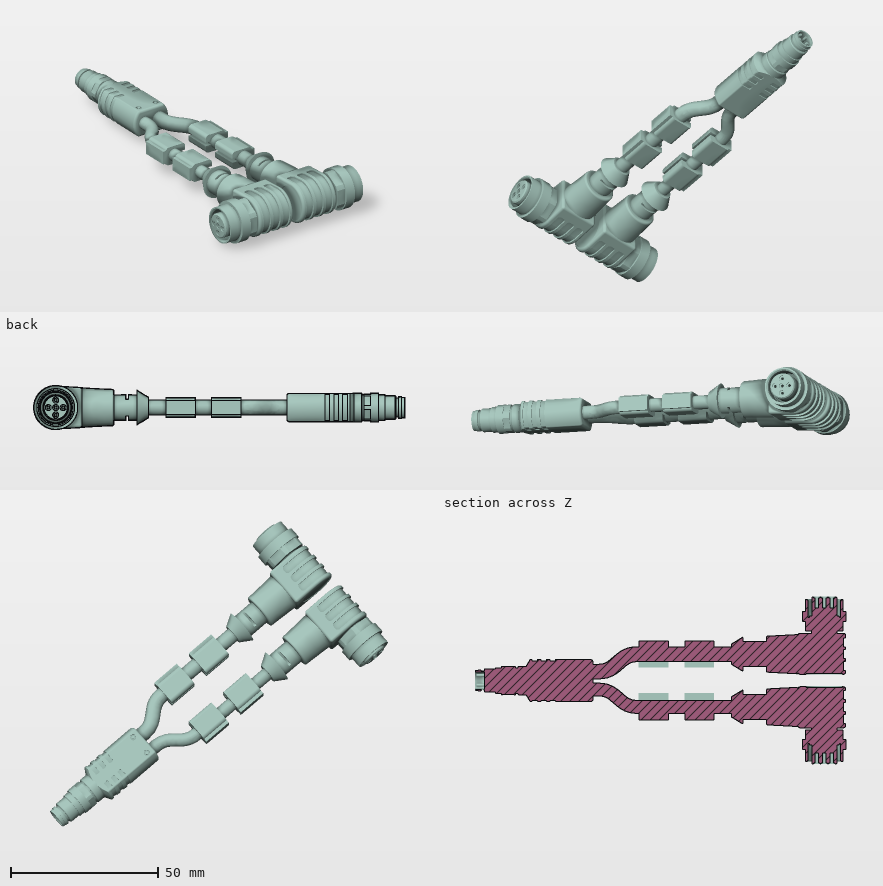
import cadquery as cq
import math


OVERALL_LENGTH = 126.0
OVERALL_WIDTH = 56.8

TIP_RING = (0, 2.1, 6.9)
SEAL_RING = (1.1, 2.1, 7.4)
UNDERCUT_RING = (2.1, 3.0, 6.5)
SLEEVE_RING = (3.0, 6.8, 8.1)
SHOULDER_RING = (6.8, 9.0, 8.8)
GRIP_RING = (9.0, 13.9, 9.8)
NECK_RING = (13.9, 14.5, 8.8)
COLLAR_RING = (14.5, 17.6, 9.8)
RING_CHAMFER = 0.3
GRIP_FLAT_START = 11.6
GRIP_ACROSS_FLATS = 9.1
SOCKET_DIAMETER = 5.8
SOCKET_DEPTH = 3.2
PIN_DIAMETER = 1.0
PIN_RECESS = 0.6
PLUG_PINS = ((-1.1, 1.8), (1.1, 1.8), (-1.6, -0.6), (1.6, -0.6))

BODY_START = 17.3
BODY_END = 40.1
BODY_HALF_WIDTH = 7.2
BODY_HEIGHT = 9.7
BODY_HALF_HEIGHT = BODY_HEIGHT / 2
BODY_FLAT_HALF_WIDTH = 5.2
BODY_TAPER_LENGTH = 1.4
BODY_EDGE_FILLET = 0.6
BODY_END_FILLET = 0.9
BODY_GROOVE_DEPTH = 0.4
BODY_GROOVE_WIDTH = 1.6
BODY_GROOVE_PITCH = 3.0
BODY_GROOVE_FIRST = 20.3
BODY_GROOVE_COUNT = 3
BODY_GROOVE_INNER_Y = 1.9
LAMP_X = 37.4
LAMP_Y = 3.5
LAMP_RIM_DIAMETER = 2.0
LAMP_POST_DIAMETER = 1.0
LAMP_RIM_DEPTH = 0.5

CABLE_DIAMETER_PLUS_Y = 5.2
CABLE_DIAMETER_MINUS_Y = 4.5
CABLE_EXIT_Y = 3.0
ARM_Y = 9.0
BEND_START = 42.0
BEND_END = 54.9
CABLE_END = 92.0
CABLE_OVERLAP = 1.3

CLIP_LENGTH = 10.1
CLIP_STARTS = (55.6, 71.1)
CLIP_INNER_Y = 4.3
CLIP_OUTER_Y = 12.3
CLIP_HEIGHT = 6.7
CLIP_HALF_HEIGHT = CLIP_HEIGHT / 2
CLIP_LIP_FILLET = 1.3
CLIP_MOUTH_HEIGHT = 1.3
LABEL_OUTER_Y = 13.5
LABEL_HALF_HEIGHT = 2.4

FLARE_START = 87.0
FLARE_END = 91.0
FLARE_SMALL_DIAMETER = 6.9
FLARE_LARGE_DIAMETER = 11.8
SHANK_DIAMETER = 8.7
SLIT_X = 94.2
SLIT_WIDTH = 0.9
SLIT_FLOOR = 2.9
GRIP_START = 98.8
GRIP_SMALL_DIAMETER = 12.3
GRIP_LARGE_DIAMETER = 13.5
GRIP_FILLET = 0.6

ELBOW_START = 109.5
RING_DIAMETER = 15.0
ELBOW_AXIS_X = OVERALL_LENGTH - RING_DIAMETER / 2
ELBOW_INNER_Y = 2.0
ELBOW_OUTER_Y = 16.1
ELBOW_START_HALF_HEIGHT = 6.8
ELBOW_RADIUS = 7.3
ELBOW_EDGE_FILLET = 0.9
ELBOW_CAP_DIAMETER = 12.3
ELBOW_CAP_RECESS = 0.3
ELBOW_GROOVE_START = 113.7
ELBOW_GROOVE_WIDTH = 2.9
ELBOW_GROOVE_PITCH = 4.0
ELBOW_GROOVE_DEPTH = 0.6

NECK_DIAMETER = 8.8
NECK_OVERLAP = 1.3
HEX_START = 16.8
HEX_CORNER_DIAMETER = 14.1
HEX_ACROSS_FLATS = 13.0
RING_START = 19.9
RING_END = 23.4
NUT_END = 27.6
NUT_DIAMETER = 12.9
NUT_BORE = 11.0
NUT_MOUTH_CHAMFER = 0.44
NUT_FLOOR = 21.4
INSERT_END = OVERALL_WIDTH / 2
INSERT_DIAMETER = 8.7
INSERT_CHAMFER = 0.4
SEAL_SECTION = 1.1
CONTACT_DIAMETER = 1.0
CONTACT_DEPTH = 3.8
CONTACT_MOUTH_DIAMETER = 2.0
CONTACT_MOUTH_DEPTH = 0.4
CONTACT_CIRCLE_RADIUS = 2.5
CONTACT_COUNT = 4


def turned_x(start, end, diameter, y=0.0):
    """Cylinder along X."""
    return cq.Workplane("YZ", origin=(start, y, 0)).circle(diameter / 2).extrude(end - start)


def turned_y(start, end, diameter):
    """Cylinder along Y on the elbow axis."""
    plane = cq.Workplane("XZ", origin=(ELBOW_AXIS_X, start, 0))
    return plane.circle(diameter / 2).extrude(start - end)


def block(x_range, y_range, z_range):
    """Box between two limits on each axis."""
    sizes = [high - low for low, high in (x_range, y_range, z_range)]
    corner = (x_range[0], y_range[0], z_range[0])
    return cq.Workplane("XY", origin=corner).box(*sizes, centered=False)


def hex_bar(plane, across_flats, length):
    """Hexagonal bar with a flat on the local X and -X sides."""
    corner_diameter = across_flats / math.cos(math.pi / 6)
    return plane.transformed(rotate=(0, 0, 30)).polygon(6, corner_diameter).extrude(length)


def plug_nose():
    nose = turned_x(*TIP_RING)
    for ring in (SEAL_RING, UNDERCUT_RING, SHOULDER_RING, NECK_RING):
        nose = nose.union(turned_x(*ring))
    for ring in (SLEEVE_RING, COLLAR_RING):
        nose = nose.union(turned_x(*ring).faces("<X").chamfer(RING_CHAMFER))

    grip_start, grip_end, grip_diameter = GRIP_RING
    flats_plane = cq.Workplane("YZ", origin=(GRIP_FLAT_START, 0, 0)).transformed(rotate=(0, 0, 90))
    flats = hex_bar(flats_plane, GRIP_ACROSS_FLATS, grip_end - GRIP_FLAT_START)
    nose = nose.union(turned_x(grip_start, GRIP_FLAT_START, grip_diameter))
    nose = nose.union(turned_x(GRIP_FLAT_START, grip_end, grip_diameter).intersect(flats))

    nose = nose.cut(turned_x(0, SOCKET_DEPTH, SOCKET_DIAMETER))
    pins = cq.Workplane("YZ", origin=(PIN_RECESS, 0, 0)).pushPoints(PLUG_PINS)
    return nose.union(pins.circle(PIN_DIAMETER / 2).extrude(SOCKET_DEPTH - PIN_RECESS))


def barrel(inset):
    """Junction body bar with flat top and bottom and bulged sides, shrunk by the inset."""
    flat = BODY_FLAT_HALF_WIDTH
    side = BODY_HALF_WIDTH - inset
    height = BODY_HALF_HEIGHT - inset
    return (
        cq.Workplane("YZ", origin=(BODY_START, 0, 0))
        .moveTo(-flat, height)
        .lineTo(flat, height)
        .threePointArc((side, 0), (flat, -height))
        .lineTo(-flat, -height)
        .threePointArc((-side, 0), (-flat, height))
        .close()
        .extrude(BODY_END - BODY_START)
        .edges("|X")
        .fillet(BODY_EDGE_FILLET)
    )


def junction_body():
    taper_end = BODY_START + BODY_TAPER_LENGTH
    largest_radius = math.hypot(BODY_HALF_WIDTH, BODY_HALF_HEIGHT)
    taper = (
        cq.Workplane("XY")
        .moveTo(BODY_START, 0)
        .lineTo(BODY_START, BODY_HALF_HEIGHT)
        .lineTo(taper_end, BODY_HALF_WIDTH)
        .lineTo(taper_end, largest_radius)
        .lineTo(BODY_END, largest_radius)
        .lineTo(BODY_END, 0)
        .close()
        .revolve(360, (0, 0, 0), (1, 0, 0))
    )
    body = barrel(0).faces(">X").edges().fillet(BODY_END_FILLET)
    body = body.intersect(taper)

    core = barrel(BODY_GROOVE_DEPTH)
    for index in range(BODY_GROOVE_COUNT):
        middle = BODY_GROOVE_FIRST + index * BODY_GROOVE_PITCH
        groove = block(
            (middle - BODY_GROOVE_WIDTH / 2, middle + BODY_GROOVE_WIDTH / 2),
            (BODY_GROOVE_INNER_Y, 2 * BODY_HALF_WIDTH),
            (-2 * BODY_HALF_HEIGHT, 2 * BODY_HALF_HEIGHT),
        )
        groove = groove.edges("|Z and <Y").fillet(BODY_GROOVE_WIDTH / 4).cut(core)
        body = body.cut(groove).cut(groove.mirror("XZ"))

    lamp_rims = (
        cq.Workplane("XY", origin=(LAMP_X, 0, BODY_HALF_HEIGHT))
        .pushPoints([(0, -LAMP_Y), (0, LAMP_Y)])
        .circle(LAMP_RIM_DIAMETER / 2)
        .circle(LAMP_POST_DIAMETER / 2)
        .extrude(-LAMP_RIM_DEPTH)
    )
    return body.cut(lamp_rims)


def cable(diameter):
    path = (
        cq.Workplane("XY")
        .moveTo(BODY_END - CABLE_OVERLAP, CABLE_EXIT_Y)
        .lineTo(BEND_START, CABLE_EXIT_Y)
        .spline([(BEND_END, ARM_Y)], tangents=[(1, 0), (1, 0)], includeCurrent=True)
        .lineTo(CABLE_END, ARM_Y)
    )
    section = cq.Workplane("YZ", origin=(BODY_END - CABLE_OVERLAP, CABLE_EXIT_Y, 0)).circle(diameter / 2)
    return section.sweep(path)


def label_clip(start):
    x_range = (start, start + CLIP_LENGTH)
    holder = block(x_range, (CLIP_INNER_Y, CLIP_OUTER_Y), (-CLIP_HALF_HEIGHT, CLIP_HALF_HEIGHT))
    holder = holder.edges("|X").fillet(CLIP_LIP_FILLET)
    mouth = block(x_range, (CLIP_INNER_Y, ARM_Y), (-CLIP_MOUTH_HEIGHT / 2, CLIP_MOUTH_HEIGHT / 2))
    label = block(x_range, (ARM_Y, LABEL_OUTER_Y), (-LABEL_HALF_HEIGHT, LABEL_HALF_HEIGHT))
    return holder.union(label).cut(mouth)


def strain_relief():
    relief = turned_x(FLARE_END, ELBOW_START, SHANK_DIAMETER, ARM_Y)

    flare = (
        cq.Workplane("YZ", origin=(FLARE_START, ARM_Y, 0))
        .circle(FLARE_SMALL_DIAMETER / 2)
        .workplane(offset=FLARE_END - FLARE_START)
        .circle(FLARE_LARGE_DIAMETER / 2)
        .loft(ruled=True)
    )
    grip = (
        cq.Workplane("YZ", origin=(GRIP_START, ARM_Y, 0))
        .circle(GRIP_SMALL_DIAMETER / 2)
        .workplane(offset=ELBOW_START - GRIP_START)
        .circle(GRIP_LARGE_DIAMETER / 2)
        .loft(ruled=True)
        .faces("<X")
        .edges()
        .fillet(GRIP_FILLET)
    )
    slit_x = (SLIT_X - SLIT_WIDTH / 2, SLIT_X + SLIT_WIDTH / 2)
    slit_y = (ARM_Y - SHANK_DIAMETER, ARM_Y + SHANK_DIAMETER)
    upper_slit = block(slit_x, slit_y, (SLIT_FLOOR, SHANK_DIAMETER))
    lower_slit = block(slit_x, slit_y, (-SHANK_DIAMETER, -SLIT_FLOOR))
    return relief.cut(upper_slit).cut(lower_slit).union(flare).union(grip)


def elbow_bar(y_start, y_end, inset=0.0):
    """Elbow side profile, a widening bar with a round far end, shrunk by the inset."""
    radius = ELBOW_RADIUS - inset
    start_height = ELBOW_START_HALF_HEIGHT - inset
    return (
        cq.Workplane("XZ", origin=(0, y_start, 0))
        .moveTo(ELBOW_START, -start_height)
        .lineTo(ELBOW_AXIS_X, -radius)
        .threePointArc((ELBOW_AXIS_X + radius, 0), (ELBOW_AXIS_X, radius))
        .lineTo(ELBOW_START, start_height)
        .close()
        .extrude(y_start - y_end)
    )


def elbow():
    housing = elbow_bar(ELBOW_INNER_Y, ELBOW_OUTER_Y)
    housing = housing.faces("<Y or >Y or <X").edges().fillet(ELBOW_EDGE_FILLET)
    cap_floor = ELBOW_INNER_Y + ELBOW_CAP_RECESS
    housing = housing.cut(turned_y(ELBOW_INNER_Y, cap_floor, ELBOW_CAP_DIAMETER))

    core = elbow_bar(ELBOW_INNER_Y, ELBOW_OUTER_Y, ELBOW_GROOVE_DEPTH)
    groove_end = ELBOW_AXIS_X + 2 * ELBOW_RADIUS
    for step in (-1, 0, 1):
        middle = ARM_Y + step * ELBOW_GROOVE_PITCH
        groove = block(
            (ELBOW_GROOVE_START, groove_end),
            (middle - ELBOW_GROOVE_WIDTH / 2, middle + ELBOW_GROOVE_WIDTH / 2),
            (-2 * ELBOW_RADIUS, 2 * ELBOW_RADIUS),
        )
        groove = groove.edges("|Z and <X").fillet(ELBOW_GROOVE_WIDTH / 3)
        housing = housing.cut(groove.cut(core))
    return housing


def coupling():
    hex_plane = cq.Workplane("XZ", origin=(ELBOW_AXIS_X, HEX_START, 0))
    flats = hex_bar(hex_plane, HEX_ACROSS_FLATS, HEX_START - RING_START)
    nut = turned_y(HEX_START, RING_START, HEX_CORNER_DIAMETER).intersect(flats)
    nut = nut.union(turned_y(RING_START, RING_END, RING_DIAMETER))
    nut = nut.union(turned_y(RING_END, NUT_END, NUT_DIAMETER))
    nut = nut.cut(turned_y(NUT_FLOOR, NUT_END, NUT_BORE))
    mouth_edge = cq.selectors.RadiusNthSelector(0)
    nut = nut.faces(">Y").edges(mouth_edge).chamfer(NUT_MOUTH_CHAMFER)

    insert = turned_y(ELBOW_OUTER_Y, INSERT_END, INSERT_DIAMETER).faces(">Y").chamfer(INSERT_CHAMFER)
    contact_angles = [2 * math.pi * index / CONTACT_COUNT for index in range(CONTACT_COUNT)]
    contacts = [
        (CONTACT_CIRCLE_RADIUS * math.cos(angle), CONTACT_CIRCLE_RADIUS * math.sin(angle))
        for angle in contact_angles
    ]
    holes = (
        cq.Workplane("XZ", origin=(ELBOW_AXIS_X, INSERT_END, 0))
        .pushPoints(contacts + [(0, 0)])
        .circle(CONTACT_MOUTH_DIAMETER / 2)
        .extrude(CONTACT_MOUTH_DEPTH)
        .pushPoints(contacts + [(0, 0)])
        .circle(CONTACT_DIAMETER / 2)
        .extrude(CONTACT_DEPTH)
    )
    seal_radius = INSERT_DIAMETER / 2 + SEAL_SECTION / 4
    seal = cq.Solid.makeTorus(
        seal_radius, SEAL_SECTION / 2, cq.Vector(ELBOW_AXIS_X, NUT_FLOOR, 0), cq.Vector(0, 1, 0)
    )
    neck = turned_y(ELBOW_OUTER_Y - NECK_OVERLAP, HEX_START, NECK_DIAMETER)
    return nut.union(insert).union(neck).union(cq.Workplane(seal)).cut(holes)


def arm(cable_diameter):
    """Branch on the +Y side, from the junction body to the coupling."""
    branch = cable(cable_diameter).union(strain_relief()).union(elbow()).union(coupling())
    for start in CLIP_STARTS:
        branch = branch.union(label_clip(start))
    return branch


plus_y_arm = arm(CABLE_DIAMETER_PLUS_Y)
minus_y_arm = arm(CABLE_DIAMETER_MINUS_Y).mirror("XZ")
result = plug_nose().union(junction_body()).union(plus_y_arm).union(minus_y_arm)